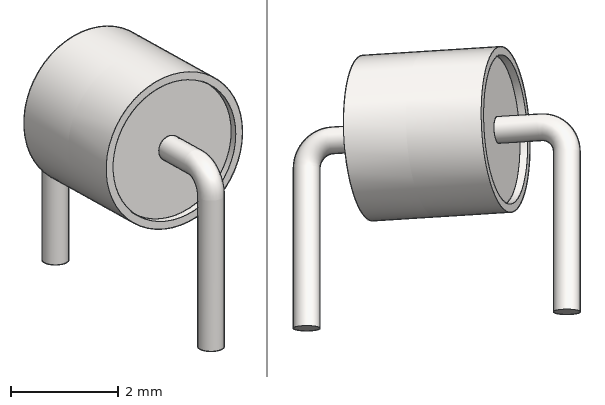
import cadquery as cq

overall_length = 5.58
body_diameter = 3.1
body_length = 2.69
seam_x = 0.115
overall_height = 5.1

recess_diameter = 2.79
recess_depth = 0.15

wire_diameter = 0.5
bend_radius = wire_diameter

lead_x = (overall_length - wire_diameter) / 2
lead_bottom_z = body_diameter / 2 - overall_height


def make_body():
    seam = cq.Workplane("YZ", origin=(seam_x, 0, 0))
    right_section = seam.circle(body_diameter / 2).extrude(body_length / 2 - seam_x)
    left_section = seam.circle(body_diameter / 2).extrude(-body_length / 2 - seam_x)
    body = right_section.union(left_section)
    for end_face in ("<X", ">X"):
        body = body.faces(end_face).workplane().circle(recess_diameter / 2).cutBlind(-recess_depth)
    return body


def make_wire():
    """One continuous wire: through the body and bent down at both ends."""
    path = (
        cq.Workplane("XZ")
        .moveTo(-lead_x, lead_bottom_z)
        .lineTo(-lead_x, -bend_radius)
        .tangentArcPoint((bend_radius, bend_radius))
        .lineTo(lead_x - bend_radius, 0)
        .tangentArcPoint((bend_radius, -bend_radius))
        .lineTo(lead_x, lead_bottom_z)
    )
    profile = cq.Workplane("XY", origin=(-lead_x, 0, lead_bottom_z)).circle(wire_diameter / 2)
    return profile.sweep(path)


result = make_body().union(make_wire())